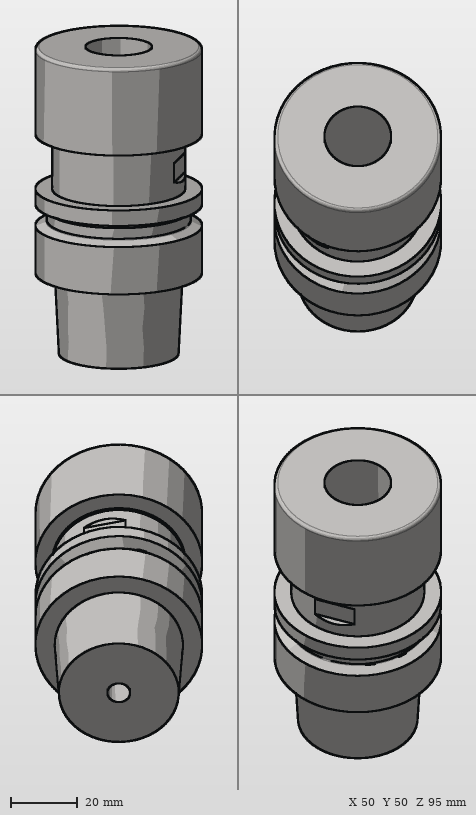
import cadquery as cq

overall_height = 95.0
taper_height = 25.0
flange_top = 51.0
collar_bottom = 67.2
head_bottom = 68.0

body_radius = 25.0
collar_radius = 20.0
neck_radius = 19.95
taper_large_radius = 19.2
taper_small_radius = 18.0

groove_center = 42.9
groove_floor_radius = 21.6
groove_floor_width = 3.8
groove_mouth_width = 6.6
groove_fillet = 0.4

rim_fillet = 1.0

bore_radius = 10.0
bore_depth = 50.0
through_radius = 3.4

flat_distance = 18.9
flat_height = 6.0
flat_center = 58.9


def revolved_body():
    floor_half = groove_floor_width / 2
    mouth_half = groove_mouth_width / 2
    profile = [
        (0, 0),
        (taper_small_radius, 0),
        (taper_large_radius, taper_height),
        (body_radius, taper_height),
        (body_radius, groove_center - mouth_half),
        (groove_floor_radius, groove_center - floor_half),
        (groove_floor_radius, groove_center + floor_half),
        (body_radius, groove_center + mouth_half),
        (body_radius, flange_top),
        (neck_radius, flange_top),
        (neck_radius, collar_bottom),
        (collar_radius, collar_bottom),
        (collar_radius, head_bottom),
        (body_radius, head_bottom),
        (body_radius, overall_height),
        (0, overall_height),
    ]
    body = cq.Workplane("XZ").polyline(profile).close().revolve(360, (0, 0), (0, 1))
    body = body.faces(">Z").edges().fillet(rim_fillet)
    for side in (-1, 1):
        corner = cq.selectors.NearestToPointSelector((0, 0, groove_center + side * floor_half))
        body = body.edges("%CIRCLE").edges(corner).fillet(groove_fillet)
    return body


def wrench_flat_cutter(side):
    """Notch with 45 degree ends that leaves a flat on the +X (1) or -X (-1) side."""
    depth = neck_radius - flat_distance
    floor_half = flat_height / 2
    mouth_half = floor_half + depth
    outline = [
        (side * flat_distance, flat_center - floor_half),
        (side * neck_radius, flat_center - mouth_half),
        (side * neck_radius, flat_center + mouth_half),
        (side * flat_distance, flat_center + floor_half),
    ]
    return cq.Workplane("XZ").polyline(outline).close().extrude(neck_radius, both=True)


result = revolved_body()
for side in (-1, 1):
    result = result.cut(wrench_flat_cutter(side))

top_plane = cq.Workplane("XY").workplane(offset=overall_height)
result = result.cut(top_plane.circle(bore_radius).extrude(-bore_depth))
result = result.cut(top_plane.circle(through_radius).extrude(-overall_height))